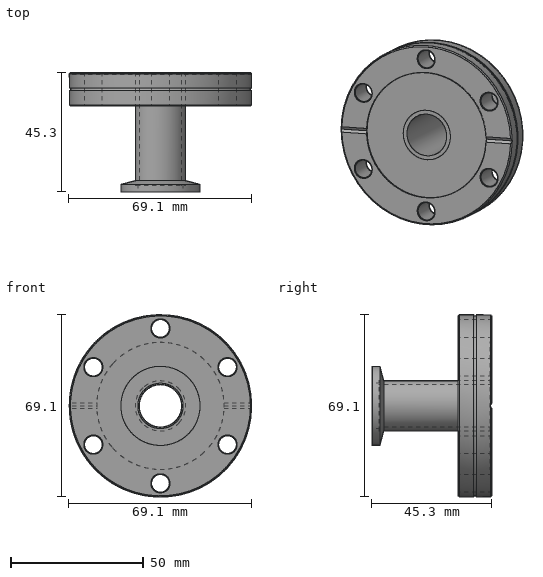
import cadquery as cq
import math

OVERALL_LENGTH = 45.3
Y_BACK = OVERALL_LENGTH / 2
Y_FRONT = -OVERALL_LENGTH / 2

FLANGE_DIAMETER = 69.1
FLANGE_THICKNESS = 12.7
FLANGE_CHAMFER = 0.5
RIM_GROOVE_WIDTH = 1.05
RIM_GROOVE_DEPTH = 0.5
BOLT_COUNT = 6
BOLT_CIRCLE_DIAMETER = 58.7
BOLT_HOLE_DIAMETER = 6.7
BOLT_HOLE_CHAMFER = 0.3
RECESS_DIAMETER = 48.2
RECESS_DEPTH = 0.7
LEAK_GROOVE_WIDTH = 2.1

TUBE_OUTER_DIAMETER = 19.1
TUBE_INNER_DIAMETER = 16.0

CLAMP_DIAMETER = 30.0
CLAMP_BORE_DIAMETER = 17.2
CLAMP_RIM_THICKNESS = 3.0
CLAMP_CONE_LENGTH = 1.45
CLAMP_SEAT_DEPTH = 2.6

FLANGE_FRONT_Y = Y_BACK - FLANGE_THICKNESS
FLANGE_MIDDLE_Y = Y_BACK - FLANGE_THICKNESS / 2
RECESS_FLOOR_Y = Y_BACK - RECESS_DEPTH
CLAMP_RIM_Y = Y_FRONT + CLAMP_RIM_THICKNESS
CLAMP_NECK_Y = CLAMP_RIM_Y + CLAMP_CONE_LENGTH
TUBE_FRONT_Y = Y_FRONT + CLAMP_SEAT_DEPTH


def revolve_about_y(profile):
    """Revolve a closed (radius, y) outline about the Y axis."""
    return cq.Workplane("XY").polyline(profile).close().revolve(360, (0, 0, 0), (0, 1, 0))


def cylinder(diameter, y_start, y_end):
    """A cylinder on the Y axis between two stations."""
    start_plane = cq.Plane(origin=(0, y_start, 0), xDir=(1, 0, 0), normal=(0, 1, 0))
    return cq.Workplane(start_plane).circle(diameter / 2).extrude(y_end - y_start)


def make_bolt_hole(angle):
    """Cutter for one bolt hole, flared to a chamfer at both flange faces."""
    hole_radius = BOLT_HOLE_DIAMETER / 2
    mouth_radius = hole_radius + BOLT_HOLE_CHAMFER
    cutter = revolve_about_y([
        (0, FLANGE_FRONT_Y),
        (mouth_radius, FLANGE_FRONT_Y),
        (hole_radius, FLANGE_FRONT_Y + BOLT_HOLE_CHAMFER),
        (hole_radius, Y_BACK - BOLT_HOLE_CHAMFER),
        (mouth_radius, Y_BACK),
        (0, Y_BACK),
    ])
    bolt_radius = BOLT_CIRCLE_DIAMETER / 2
    return cutter.translate((bolt_radius * math.sin(angle), 0, bolt_radius * math.cos(angle)))


def make_rim_groove():
    """Ring cutter for the round groove around the middle of the flange rim."""
    rim_radius = FLANGE_DIAMETER / 2
    return (
        cq.Workplane("XY")
        .moveTo(rim_radius, FLANGE_MIDDLE_Y - RIM_GROOVE_WIDTH / 2)
        .threePointArc(
            (rim_radius - RIM_GROOVE_DEPTH, FLANGE_MIDDLE_Y),
            (rim_radius, FLANGE_MIDDLE_Y + RIM_GROOVE_WIDTH / 2),
        )
        .close()
        .revolve(360, (0, 0, 0), (0, 1, 0))
    )


def make_leak_groove():
    """V cutter across the back face along X, as deep as the recess."""
    return (
        cq.Workplane("YZ")
        .polyline([(Y_BACK, -LEAK_GROOVE_WIDTH / 2), (RECESS_FLOOR_Y, 0), (Y_BACK, LEAK_GROOVE_WIDTH / 2)])
        .close()
        .extrude(FLANGE_DIAMETER / 2, both=True)
    )


def make_bolted_flange():
    flange = cylinder(FLANGE_DIAMETER, FLANGE_FRONT_Y, Y_BACK).edges().chamfer(FLANGE_CHAMFER)
    flange = flange.cut(make_rim_groove())
    flange = flange.cut(cylinder(RECESS_DIAMETER, RECESS_FLOOR_Y, Y_BACK))
    flange = flange.cut(make_leak_groove())
    for index in range(BOLT_COUNT):
        flange = flange.cut(make_bolt_hole(index * 2 * math.pi / BOLT_COUNT))
    return flange.cut(cylinder(TUBE_OUTER_DIAMETER, FLANGE_FRONT_Y, Y_BACK))


def make_tube():
    """Plain tube from the clamp flange seat to the recess floor."""
    outside = cylinder(TUBE_OUTER_DIAMETER, TUBE_FRONT_Y, RECESS_FLOOR_Y)
    return outside.cut(cylinder(TUBE_INNER_DIAMETER, TUBE_FRONT_Y, RECESS_FLOOR_Y))


def make_clamp_flange():
    """Ring with a conical back that narrows to the tube, bored for the seat and socketed for the tube."""
    return revolve_about_y([
        (CLAMP_BORE_DIAMETER / 2, Y_FRONT),
        (CLAMP_DIAMETER / 2, Y_FRONT),
        (CLAMP_DIAMETER / 2, CLAMP_RIM_Y),
        (TUBE_OUTER_DIAMETER / 2, CLAMP_NECK_Y),
        (TUBE_OUTER_DIAMETER / 2, TUBE_FRONT_Y),
        (CLAMP_BORE_DIAMETER / 2, TUBE_FRONT_Y),
    ])


bolted_flange = make_bolted_flange()
tube = make_tube()
clamp_flange = make_clamp_flange()

result = cq.Compound.makeCompound([bolted_flange.val(), tube.val(), clamp_flange.val()])